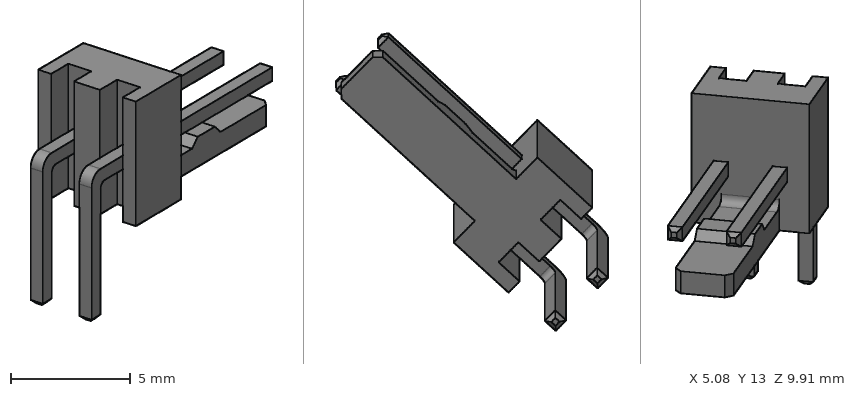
import cadquery as cq


overall_depth = 12.97
overall_height = 9.91

housing_width = 5.08
housing_depth = 3.16
housing_height = 5.8
slot_width = 1.19
slot_depth = 1.2

pin_pitch = housing_width / 2
pin_count = 2
pin_size = 0.64
pin_axis_z = pin_pitch
pin_heel_y = -1.82
pin_tip_y = 11.04
pin_foot_z = housing_height - overall_height
pin_tip_chamfer = 0.2
bend_outer_radius = pin_size
bend_inner_radius = 0.3

tongue_end_y = overall_depth + pin_heel_y
tongue_width = 2.5
tongue_thickness = 1.0
tongue_corner_chamfer = 0.3
tongue_root_radius = 0.4
bump_start_y = 5.67
bump_length = 2.0
bump_height = 0.4

pin_positions = [(i - (pin_count - 1) / 2) * pin_pitch for i in range(pin_count)]


def block(width, y_start, y_end, z_start, z_end, x_centre=0.0):
    """Box centred on x_centre between the given Y and Z limits."""
    return cq.Workplane("XY").box(
        width, y_end - y_start, z_end - z_start, centered=(True, False, False)
    ).translate((x_centre, y_start, z_start))


def make_tongue():
    """Flat tongue with a 45-degree locking bump and a rounded root at the housing."""
    bump_end_y = bump_start_y + bump_length
    bump_top_z = tongue_thickness + bump_height
    root_end_y = housing_depth + tongue_root_radius
    profile = (
        cq.Workplane("YZ")
        .moveTo(housing_depth, 0)
        .lineTo(tongue_end_y, 0)
        .lineTo(tongue_end_y, tongue_thickness)
        .lineTo(bump_end_y, tongue_thickness)
        .lineTo(bump_end_y - bump_height, bump_top_z)
        .lineTo(bump_start_y + bump_height, bump_top_z)
        .lineTo(bump_start_y, tongue_thickness)
        .lineTo(root_end_y, tongue_thickness)
        .radiusArc((housing_depth, tongue_thickness + tongue_root_radius), tongue_root_radius)
        .close()
    )
    tongue = profile.extrude(tongue_width / 2, both=True)
    return tongue.faces(">Y").edges("|Z").chamfer(tongue_corner_chamfer)


def make_housing():
    """Block with the tongue, and a full-height slot and a square hole for each pin."""
    housing = block(housing_width, 0, housing_depth, 0, housing_height).union(make_tongue())
    hole_bottom_z = pin_axis_z - pin_size / 2
    hole_top_z = pin_axis_z + pin_size / 2
    for x in pin_positions:
        slot = block(slot_width, 0, slot_depth, 0, housing_height, x)
        hole = block(pin_size, 0, housing_depth, hole_bottom_z, hole_top_z, x)
        housing = housing.cut(slot).cut(hole)
    return housing


def make_pin(x):
    """Square pin bent down at its heel, with both tips chamfered on all four sides."""
    top_z = pin_axis_z + pin_size / 2
    bottom_z = top_z - pin_size
    inner_y = pin_heel_y + pin_size
    pin = (
        cq.Workplane("YZ", origin=(x, 0, 0))
        .moveTo(pin_tip_y, top_z)
        .lineTo(pin_heel_y, top_z)
        .lineTo(pin_heel_y, pin_foot_z)
        .lineTo(inner_y, pin_foot_z)
        .lineTo(inner_y, bottom_z)
        .lineTo(pin_tip_y, bottom_z)
        .close()
        .extrude(pin_size / 2, both=True)
    )
    outer_corner = cq.selectors.NearestToPointSelector((x, pin_heel_y, top_z))
    inner_corner = cq.selectors.NearestToPointSelector((x, inner_y, bottom_z))
    pin = pin.edges("|X").edges(outer_corner).fillet(bend_outer_radius)
    pin = pin.edges("|X").edges(inner_corner).fillet(bend_inner_radius)
    return pin.faces(">Y or <Z").chamfer(pin_tip_chamfer)


housing = make_housing()
pins = [make_pin(x) for x in pin_positions]

result = cq.Compound.makeCompound([housing.val(), *[pin.val() for pin in pins]])